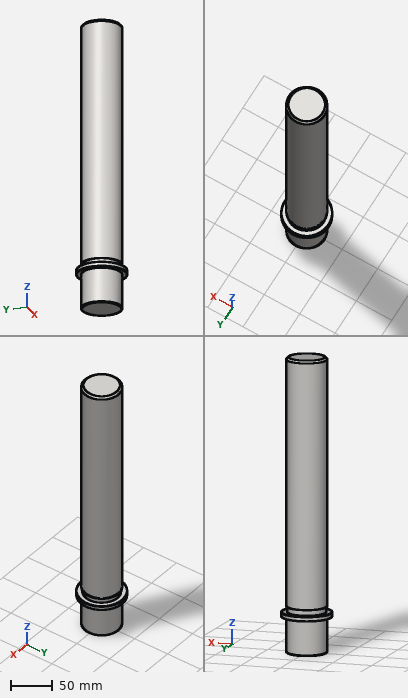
import cadquery as cq

total_length = 365.0
shank_diameter = 50.0
flange_diameter = 62.0
relief_diameter = 47.5

base_length = 44.0
flange_thickness = 6.0
relief_length = 7.0

tip_chamfer = 3.0
base_chamfer = 1.0
flange_chamfer = 0.5


def cylinder(diameter, bottom, height):
    """Solid cylinder on the Z axis."""
    return cq.Workplane("XY").workplane(offset=bottom).circle(diameter / 2).extrude(height)


flange_top = base_length + flange_thickness
shank_bottom = flange_top + relief_length

base = cylinder(shank_diameter, 0, base_length).faces("<Z").edges().chamfer(base_chamfer)

flange = cylinder(flange_diameter, base_length, flange_thickness)
flange = flange.edges("%CIRCLE").chamfer(flange_chamfer)

relief = cylinder(relief_diameter, flange_top, relief_length)

shank = cylinder(shank_diameter, shank_bottom, total_length - shank_bottom)
shank = shank.faces(">Z").edges().chamfer(tip_chamfer)

result = base.union(flange).union(relief).union(shank)